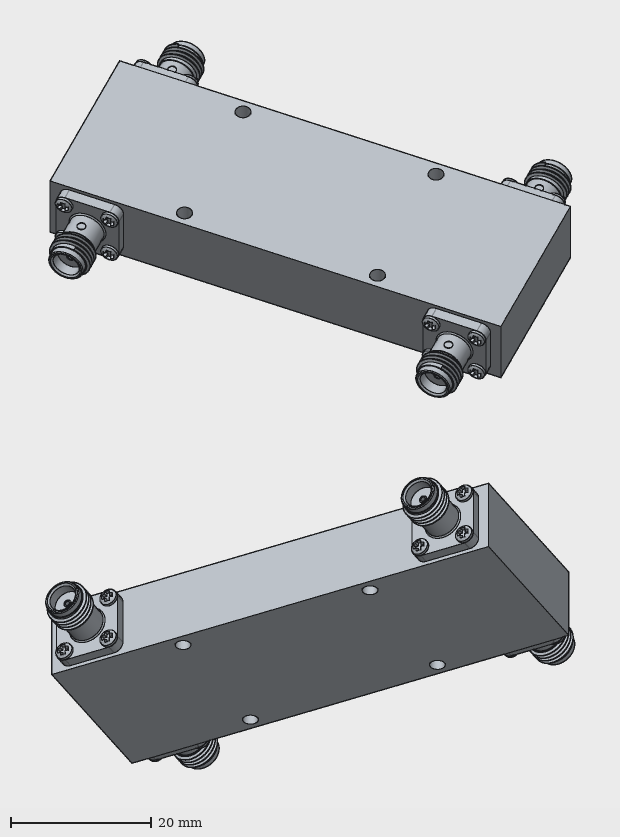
import cadquery as cq

body_length = 70.0
body_width = 25.0
body_height = 11.0
mount_hole_dia = 2.25
mount_hole_x = 15.0
mount_hole_y = 10.5

connector_x = 28.5
connector_height = 9.5
flange_side = 9.8
flange_corner = 1.4
flange_thickness = 1.6
barrel_radius = 2.65
barrel_root_chamfer = 0.2
barrel_tip_chamfer = 0.15

thread_bottom = 5.4
thread_top = 8.5
thread_core_radius = 2.8
thread_radius = 3.2
thread_pitch = 0.7
thread_root_width = 0.5
thread_crest_width = 0.15
thread_embed = 0.1

bore_radius = 2.0
bore_depth = 1.9
bore_chamfer = 0.3
contact_radius = 0.55
contact_height = 0.15
contact_hole_radius = 0.35
contact_hole_depth = 1.4

side_hole_radius = 0.6
side_hole_height = 3.8
side_hole_depth = 0.15

screw_radius = 1.295
screw_offset = 3.535
screw_rim_height = 0.4
screw_dome_height = 0.5
recess_length = 1.8
recess_width = 0.85
recess_depth = 0.6
recess_taper = 18.0


def make_housing():
    """Plain block with four through mounting holes."""
    return (
        cq.Workplane("XY")
        .box(body_length, body_width, body_height)
        .faces(">Z")
        .workplane()
        .rect(2 * mount_hole_x, 2 * mount_hole_y, forConstruction=True)
        .vertices()
        .hole(mount_hole_dia)
    )


def make_flange():
    """Square plate with rounded corners."""
    return (
        cq.Workplane("XY")
        .rect(flange_side, flange_side)
        .extrude(flange_thickness)
        .edges("|Z")
        .fillet(flange_corner)
    )


def make_barrel():
    """Turned barrel with its socket, revolved from a half profile of radius and height."""
    bore_floor = connector_height - bore_depth
    contact_top = bore_floor + contact_height
    contact_hole_floor = contact_top - contact_hole_depth
    profile = [
        (0, 0),
        (barrel_radius + barrel_root_chamfer, 0),
        (barrel_radius + barrel_root_chamfer, flange_thickness),
        (barrel_radius, flange_thickness + barrel_root_chamfer),
        (barrel_radius, thread_bottom),
        (thread_core_radius, thread_bottom),
        (thread_core_radius, thread_top),
        (barrel_radius, thread_top),
        (barrel_radius, connector_height - barrel_tip_chamfer),
        (barrel_radius - barrel_tip_chamfer, connector_height),
        (bore_radius + bore_chamfer, connector_height),
        (bore_radius, connector_height - bore_chamfer),
        (bore_radius, bore_floor),
        (contact_radius, bore_floor),
        (contact_radius, contact_top),
        (contact_hole_radius, contact_top),
        (contact_hole_radius, contact_hole_floor),
        (0, contact_hole_floor),
    ]
    return cq.Workplane("XZ").polyline(profile).close().revolve(360, (0, 0, 0), (0, 1, 0))


def make_thread():
    """Helical ridge whose root is sunk slightly into the thread core."""
    root_radius = thread_core_radius - thread_embed
    helix_height = thread_top - thread_bottom - thread_root_width
    helix = cq.Wire.makeHelix(thread_pitch, helix_height, root_radius)
    ridge_profile = [
        (root_radius, -thread_root_width / 2),
        (thread_radius, -thread_crest_width / 2),
        (thread_radius, thread_crest_width / 2),
        (root_radius, thread_root_width / 2),
    ]
    return (
        cq.Workplane("XZ")
        .polyline(ridge_profile)
        .close()
        .sweep(cq.Workplane(helix), isFrenet=True)
        .rotate((0, 0, 0), (0, 0, 1), 180)
        .translate((0, 0, thread_bottom + thread_root_width / 2))
    )


def make_side_hole():
    """Cutter for the shallow hole on the +Y side of the barrel."""
    return (
        cq.Workplane("XZ", origin=(0, barrel_radius, side_hole_height))
        .circle(side_hole_radius)
        .extrude(side_hole_depth)
    )


def make_screw():
    """Domed screw head with a tapered cross recess, standing on the flange."""
    rim_z = flange_thickness + screw_rim_height
    top_z = rim_z + screw_dome_height
    dome_sphere_radius = (screw_radius**2 + screw_dome_height**2) / (2 * screw_dome_height)
    head = cq.Workplane("XY").circle(screw_radius).extrude(top_z)
    dome = cq.Workplane("XY", origin=(0, 0, top_z - dome_sphere_radius)).sphere(dome_sphere_radius)
    head = head.intersect(dome)
    recess_top = cq.Workplane("XY", origin=(0, 0, top_z))
    for length, width in ((recess_length, recess_width), (recess_width, recess_length)):
        head = head.cut(recess_top.rect(length, width).extrude(-recess_depth, taper=recess_taper))
    return head


def make_connector():
    """Complete connector pointing along +Z, with its side hole facing +Y."""
    connector = make_flange().union(make_barrel()).union(make_thread()).cut(make_side_hole())
    screw = make_screw()
    for x in (-screw_offset, screw_offset):
        for y in (-screw_offset, screw_offset):
            connector = connector.union(screw.translate((x, y, 0)))
    return connector


front_connector = (
    make_connector()
    .rotate((0, 0, 0), (1, 0, 0), 90)
    .translate((0, -body_width / 2, 0))
)
back_connector = front_connector.rotate((0, 0, 0), (0, 0, 1), 180)

result = make_housing()
for x in (-connector_x, connector_x):
    for connector in (front_connector, back_connector):
        result = result.union(connector.translate((x, 0, 0)))